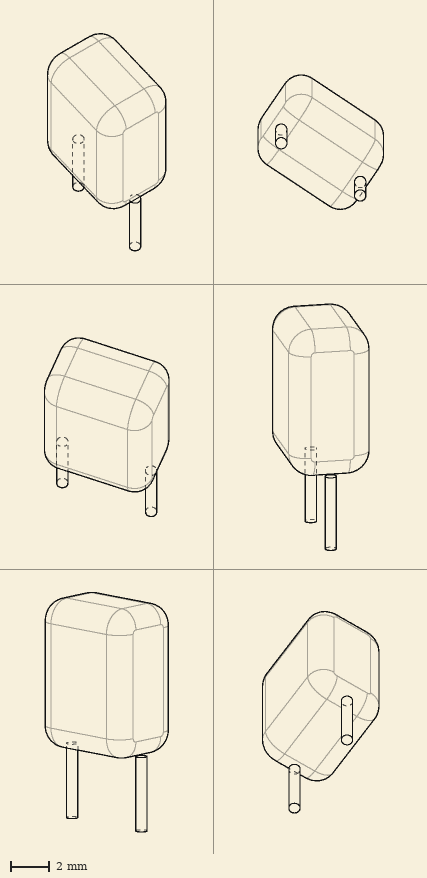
import cadquery as cq

total_height = 12.0
lead_length = 4.0
lead_diameter = 0.6
lead_pitch = 5.0

case_width = 6.0
case_depth = 4.3
case_height = total_height - lead_length
long_edge_radius = 1.2
end_edge_radius = 1.0


def make_case():
    """Block standing on Z = 0 with every edge rounded."""
    block = cq.Workplane("XY").box(case_width, case_depth, case_height, centered=(True, True, False))
    return block.edges("|X").fillet(long_edge_radius).faces("<X or >X").edges().fillet(end_edge_radius)


def make_lead(x):
    """Straight round lead hanging down from the level of the case underside."""
    return cq.Workplane("XY").center(x, 0).circle(lead_diameter / 2).extrude(-lead_length)


case = make_case()

leads = []
for side in (-1, 1):
    leads.append(make_lead(side * lead_pitch / 2))

result = cq.Compound.makeCompound([case.val(), *[lead.val() for lead in leads]])